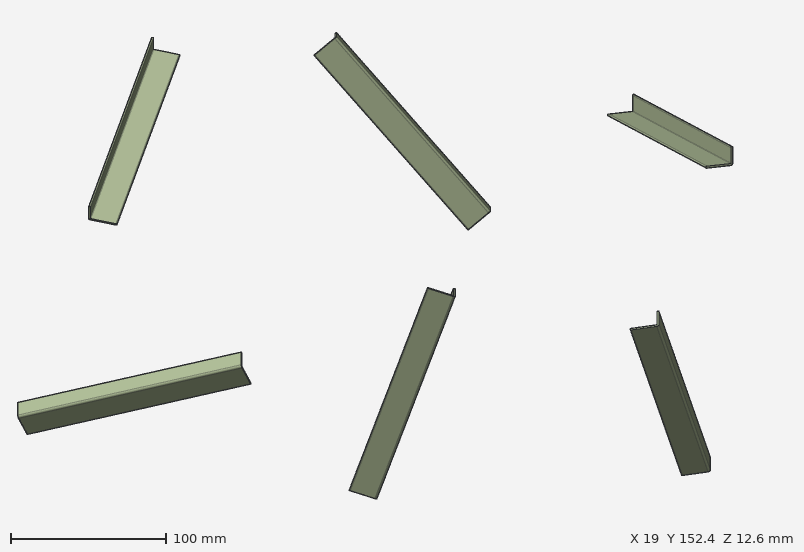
import cadquery as cq

length = 152.4
base_width = 19.0
wall_height = 12.6
thickness = 1.4
heel_radius = 1.5
inner_radius = 0.2

tip_radius = thickness / 2

angle = (
    cq.Workplane("XZ")
    .moveTo(0, 0)
    .lineTo(base_width - tip_radius, 0)
    .threePointArc((base_width, tip_radius), (base_width - tip_radius, thickness))
    .lineTo(thickness, thickness)
    .lineTo(thickness, wall_height - tip_radius)
    .threePointArc((tip_radius, wall_height), (0, wall_height - tip_radius))
    .close()
    .extrude(-length)
)

heel = angle.edges("|Y and <X and <Z").fillet(heel_radius)
inner_corner = cq.selectors.NearestToPointSelector((thickness, length / 2, thickness))
result = heel.edges(inner_corner).fillet(inner_radius)